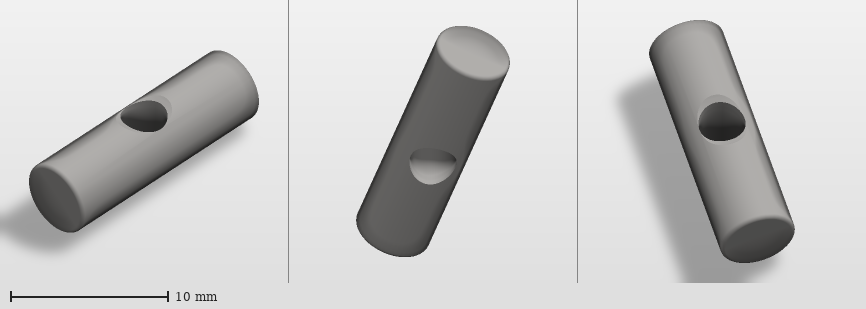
import cadquery as cq

length = 16.0
diameter = 4.96
end_round = 0.25
hole_diameter = 3.0

seat_radius = 4.0
seat_depth = 0.51

radius = diameter / 2


def make_pin():
    pin = cq.Workplane("XZ", origin=(0, length / 2, 0)).circle(radius).extrude(length)
    return pin.faces("<Y or >Y").edges().fillet(end_round)


def make_cross_hole():
    return cq.Workplane("XY").circle(hole_diameter / 2).extrude(diameter, both=True)


def make_seat():
    axis_height = radius - seat_depth + seat_radius
    seat = cq.Workplane("YZ", origin=(-diameter, 0, 0)).center(0, axis_height)
    return seat.circle(seat_radius).extrude(2 * diameter)


result = make_pin().cut(make_seat()).cut(make_cross_hole())